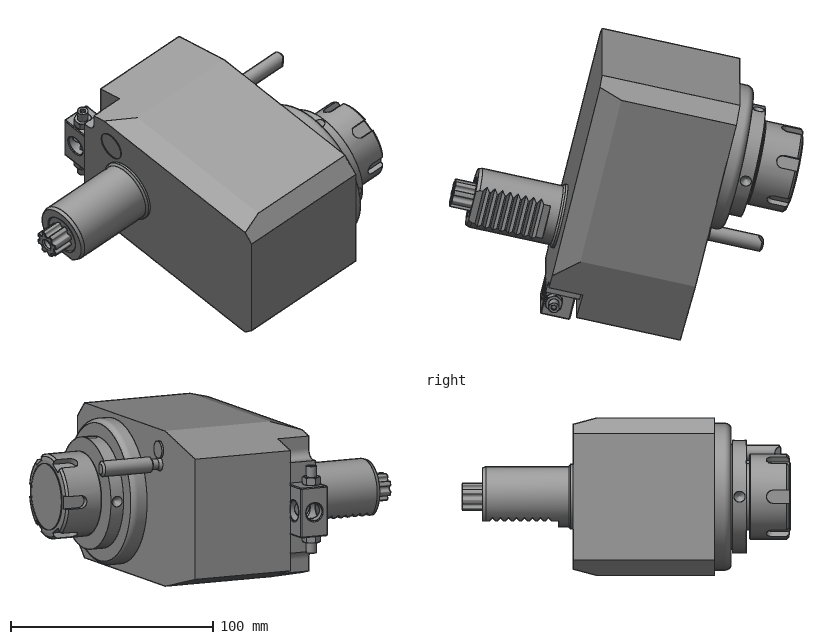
import cadquery as cq
import math


BODY_DEPTH = 70.0
BODY_LEFT = -39.0
BODY_RIGHT = 90.0
HALF_HEIGHT = 39.0
TAPER_ANGLE = math.radians(15)
SIDE_TAPER_LENGTH = 32.8
FRONT_TAPER_LENGTH = 11.7
CORNER_CHAMFER = 7.8
PLUG_RADIUS = 7.2
PLUG_X = -12.7
PLUG_Z = 21.6
PLUG_RECESS = 0.5

POCKET_DEPTH = 17.2
POCKET_RIGHT = -25.2
PAD_FACE_X = -32.2
PAD_HALF_HEIGHT = 22.8
POCKET_FILLET = 4.7

SHANK_RADIUS = 15.0
SHANK_LENGTH = 44.9
SHANK_CHAMFER_LENGTH = 1.8
SHANK_CHAMFER_WIDTH = 0.7
COLLAR_RADIUS = 16.1
COLLAR_LENGTH = 1.1
COLLAR_END = 2.1
END_RECESS_RADIUS = 10.0
END_RECESS_DEPTH = 0.5
END_RECESS_TAPER = 0.5
FLAT_Z = -12.0
FLAT_START = 7.2
NOTCH_COUNT = 8
NOTCH_FIRST = 12.2
NOTCH_LAST = 39.8
NOTCH_DEPTH = 1.6

SPLINE_LENGTH = 10.0
SPLINE_RADIUS = 7.0
SPLINE_CHAMFER = 0.3
SPLINE_EDGE_FILLET = 0.5
SPLINE_COUNT = 8
SPLINE_GROOVE_RADIUS = 1.3
SPLINE_GROOVE_CENTRE = 6.5
CENTRE_HOLE_RADIUS = 2.5
CENTRE_HOLE_DEPTH = 4.9
CENTRE_HOLE_CHAMFER = 0.7

SPINDLE_X = 50.0
FLANGE_RADIUS = 36.5
FLANGE_LENGTH = 8.1
FLANGE_ROUNDING = 3.4
FLANGE_ROUNDING_TRIM = 0.3
GAP_RADIUS = 26.0
RING_START = 78.9
RING_END = 85.9
RING_RADIUS = 28.0
RING_HOLE_RADIUS = 2.8
RING_HOLE_DEPTH = 2.8
RING_HOLE_COUNT = 4
RING_HOLE_Y = 82.5
NECK_RADIUS = 16.6
NUT_START = 87.3
NUT_END = 107.6
NUT_RADIUS = 21.1
NUT_BASE_CHAMFER = 0.5
NUT_RIM_WIDTH = 1.1
NUT_RIM_START = 2.0
NUT_RIM_END = 0.8
NUT_STEP_RADIUS = 18.0
NUT_STEP_HEIGHT = 0.5
NUT_SLOT_COUNT = 6
NUT_SLOT_WIDTH = 6.5
NUT_SLOT_LENGTH = 11.9
NUT_SLOT_FLOOR = 18.0

PIN_Z = 21.6
PIN_RADIUS = 3.9
PIN_END = 103.0
PIN_HEAD_START = 75.8
PIN_NECK_RADIUS = 2.6
PIN_SHOULDER = 1.0
PIN_TIP_LENGTH = 1.0
PIN_TIP_RADIUS = 2.6
PIN_FOOT_RADIUS = 3.5
PIN_FOOT_HEIGHT = 1.6
PIN_BEVEL_WIDTH = 2.5
PIN_BEVEL_LENGTH = 3.1
SCREW_HEAD_Z = 28.8
SCREW_HEAD_RADIUS = 4.4
SCREW_HEAD_HEIGHT = 1.0

BLOCK_LEFT = -48.0
BLOCK_FRONT = 1.0
BLOCK_DEPTH = 15.0
BLOCK_HALF_HEIGHT = 12.5
BLOCK_CHAMFER = 0.5
PORT_X = -39.8
PORT_RADIUS = 5.0
PORT_CHAMFER = 0.5
LEFT_PORT_RADIUS = 4.4
LEFT_PORT_FLOOR_X = -33.8
JET_RADIUS = 1.6
JET_DEPTH = 3.3
SCREW_Y = 6.0
STUD_RADIUS = 2.6
STUD_LENGTH = 9.3
SCREW_BORE_RADIUS = 1.5
SOCKET_WIDTH = 3.0
SOCKET_DEPTH = 1.6
HEX_NUT_DIAMETER = 9.1
HEX_NUT_HEIGHT = 3.9
HEX_NUT_CHAMFER = 0.5


def turned(x, z, profile):
    """Solid of revolution about a Y-parallel axis; profile points are (radius, y)."""
    start = (0, profile[0][1])
    end = (0, profile[-1][1])
    return (
        cq.Workplane("XY", origin=(x, 0, z))
        .polyline([start, *profile, end])
        .close()
        .revolve(360, (0, 0, 0), (0, 1, 0))
    )


def rod(x, z, radius, y_start, y_end):
    """Cylinder along Y."""
    return turned(x, z, [(radius, y_start), (radius, y_end)])


def make_body():
    left_half_height = HALF_HEIGHT - SIDE_TAPER_LENGTH * math.tan(TAPER_ANGLE)
    top_left = BODY_LEFT + SIDE_TAPER_LENGTH
    upper = [
        (BODY_LEFT, left_half_height),
        (top_left, HALF_HEIGHT),
        (BODY_RIGHT - CORNER_CHAMFER, HALF_HEIGHT),
        (BODY_RIGHT, HALF_HEIGHT - CORNER_CHAMFER),
    ]
    lower = [(x, -z) for x, z in reversed(upper)]
    body = cq.Workplane("XZ").polyline(upper + lower).close().extrude(-BODY_DEPTH)

    front_half_height = HALF_HEIGHT - FRONT_TAPER_LENGTH * math.tan(TAPER_ANGLE)
    top_side = [
        (0, front_half_height),
        (FRONT_TAPER_LENGTH, HALF_HEIGHT),
        (BODY_DEPTH, HALF_HEIGHT),
    ]
    bottom_side = [(y, -z) for y, z in reversed(top_side)]
    tapered_front = (
        cq.Workplane("YZ", origin=(BODY_LEFT, 0, 0))
        .polyline(top_side + bottom_side)
        .close()
        .extrude(BODY_RIGHT - BODY_LEFT)
    )
    plug_recess = rod(PLUG_X, PLUG_Z, PLUG_RADIUS, 0, PLUG_RECESS)
    return body.intersect(tapered_front).cut(make_pocket()).cut(plug_recess)


def make_pocket():
    """Cutter that leaves a pad at mid height, with a filleted notch above and below it."""
    upper = (
        cq.Workplane("XZ")
        .moveTo(BODY_LEFT, PAD_HALF_HEIGHT)
        .lineTo(POCKET_RIGHT - POCKET_FILLET, PAD_HALF_HEIGHT)
        .radiusArc((POCKET_RIGHT, PAD_HALF_HEIGHT + POCKET_FILLET), -POCKET_FILLET)
        .lineTo(POCKET_RIGHT, HALF_HEIGHT)
        .lineTo(BODY_LEFT, HALF_HEIGHT)
        .close()
        .extrude(-POCKET_DEPTH)
    )
    middle = cq.Workplane("XY").box(
        PAD_FACE_X - BODY_LEFT, POCKET_DEPTH, 2 * PAD_HALF_HEIGHT, centered=(False, False, True)
    )
    return middle.translate((BODY_LEFT, 0, 0)).union(upper).union(upper.mirror("XY"))


def make_shank():
    shank = turned(0, 0, [
        (COLLAR_RADIUS, 0),
        (COLLAR_RADIUS, -COLLAR_LENGTH),
        (SHANK_RADIUS, -COLLAR_END),
        (SHANK_RADIUS, SHANK_CHAMFER_LENGTH - SHANK_LENGTH),
        (SHANK_RADIUS - SHANK_CHAMFER_WIDTH, -SHANK_LENGTH),
    ])
    end_recess = turned(0, 0, [
        (END_RECESS_RADIUS, -SHANK_LENGTH),
        (END_RECESS_RADIUS - END_RECESS_TAPER, END_RECESS_DEPTH - SHANK_LENGTH),
    ])

    notched_outline = [(-FLAT_START, -COLLAR_RADIUS), (-FLAT_START, FLAT_Z)]
    notch_pitch = (NOTCH_LAST - NOTCH_FIRST) / (NOTCH_COUNT - 1)
    for index in range(NOTCH_COUNT):
        y = -NOTCH_FIRST - index * notch_pitch
        notched_outline += [
            (y + NOTCH_DEPTH, FLAT_Z),
            (y, FLAT_Z + NOTCH_DEPTH),
            (y - NOTCH_DEPTH, FLAT_Z),
        ]
    notched_outline += [(-SHANK_LENGTH, FLAT_Z), (-SHANK_LENGTH, -COLLAR_RADIUS)]
    notched_flat = (
        cq.Workplane("YZ").polyline(notched_outline).close().extrude(SHANK_RADIUS, both=True)
    )
    return shank.cut(end_recess).cut(notched_flat)


def make_spline():
    start = END_RECESS_DEPTH - SHANK_LENGTH
    end = -SHANK_LENGTH - SPLINE_LENGTH
    blank = cq.Workplane("XZ", origin=(0, start, 0)).circle(SPLINE_RADIUS).extrude(start - end)
    grooves = (
        cq.Workplane("XZ", origin=(0, start, 0))
        .polarArray(SPLINE_GROOVE_CENTRE, 0, 360, SPLINE_COUNT)
        .circle(SPLINE_GROOVE_RADIUS)
        .extrude(start - end)
    )
    spline = (
        blank.cut(grooves)
        .edges("|Y")
        .fillet(SPLINE_EDGE_FILLET)
        .edges("<Y")
        .chamfer(SPLINE_CHAMFER)
    )
    centre_hole = turned(0, 0, [
        (CENTRE_HOLE_RADIUS + CENTRE_HOLE_CHAMFER, end),
        (CENTRE_HOLE_RADIUS, end + CENTRE_HOLE_CHAMFER),
        (CENTRE_HOLE_RADIUS, end + CENTRE_HOLE_DEPTH),
    ])
    return spline.cut(centre_hole)


def make_spindle():
    flange_end = BODY_DEPTH + FLANGE_LENGTH
    rounded_end = flange_end + FLANGE_ROUNDING_TRIM
    rounded = rod(SPINDLE_X, 0, FLANGE_RADIUS, BODY_DEPTH, rounded_end).edges(">Y").fillet(FLANGE_ROUNDING)
    flange = rounded.intersect(rod(SPINDLE_X, 0, FLANGE_RADIUS, BODY_DEPTH, flange_end))
    gap = rod(SPINDLE_X, 0, GAP_RADIUS, flange_end, RING_START)
    neck = rod(SPINDLE_X, 0, NECK_RADIUS, RING_END, NUT_START)
    return flange.union(gap).union(make_ring()).union(neck).union(make_collet_nut())


def make_ring():
    ring = rod(SPINDLE_X, 0, RING_RADIUS, RING_START, RING_END)
    conical_hole = (
        cq.Workplane("XZ", origin=(SPINDLE_X, RING_HOLE_Y, RING_RADIUS - RING_HOLE_DEPTH))
        .lineTo(RING_HOLE_RADIUS, RING_HOLE_DEPTH)
        .lineTo(0, RING_HOLE_DEPTH)
        .close()
        .revolve(360, (0, 0, 0), (0, 1, 0))
    )
    for index in range(RING_HOLE_COUNT):
        angle = index * 360 / RING_HOLE_COUNT
        ring = ring.cut(conical_hole.rotate((SPINDLE_X, 0, 0), (SPINDLE_X, 1, 0), angle))
    return ring


def make_collet_nut():
    rim_radius = NUT_RADIUS - NUT_RIM_WIDTH
    nut = turned(SPINDLE_X, 0, [
        (NUT_RADIUS - NUT_BASE_CHAMFER, NUT_START),
        (NUT_RADIUS, NUT_START + NUT_BASE_CHAMFER),
        (NUT_RADIUS, NUT_END - NUT_RIM_START),
        (rim_radius, NUT_END - NUT_RIM_END),
        (NUT_STEP_RADIUS, NUT_END - NUT_STEP_HEIGHT),
        (NECK_RADIUS, NUT_END - NUT_STEP_HEIGHT),
        (NECK_RADIUS, NUT_END),
    ])
    round_centre = NUT_END - NUT_SLOT_LENGTH + NUT_SLOT_WIDTH / 2
    slot = (
        cq.Workplane("YZ", origin=(SPINDLE_X + NUT_SLOT_FLOOR, 0, 0))
        .moveTo(NUT_END, -NUT_SLOT_WIDTH / 2)
        .lineTo(round_centre, -NUT_SLOT_WIDTH / 2)
        .threePointArc((NUT_END - NUT_SLOT_LENGTH, 0), (round_centre, NUT_SLOT_WIDTH / 2))
        .lineTo(NUT_END, NUT_SLOT_WIDTH / 2)
        .close()
        .extrude(NUT_RADIUS - NUT_SLOT_FLOOR)
    )
    for index in range(NUT_SLOT_COUNT):
        angle = index * 360 / NUT_SLOT_COUNT
        nut = nut.cut(slot.rotate((SPINDLE_X, 0, 0), (SPINDLE_X, 1, 0), angle))
    return nut


def make_pin():
    pin = turned(0, PIN_Z, [
        (PIN_FOOT_RADIUS, BODY_DEPTH),
        (PIN_NECK_RADIUS, BODY_DEPTH + PIN_FOOT_HEIGHT),
        (PIN_NECK_RADIUS, PIN_HEAD_START - PIN_SHOULDER),
        (PIN_RADIUS, PIN_HEAD_START),
        (PIN_RADIUS, PIN_END - PIN_TIP_LENGTH),
        (PIN_TIP_RADIUS, PIN_END),
    ])
    tip_bevel = (
        cq.Workplane("XY", origin=(0, 0, PIN_Z))
        .moveTo(PIN_RADIUS, PIN_END)
        .lineTo(PIN_RADIUS - PIN_BEVEL_WIDTH, PIN_END)
        .lineTo(PIN_RADIUS, PIN_END - PIN_BEVEL_LENGTH)
        .close()
        .extrude(PIN_RADIUS, both=True)
    )
    screw_head = rod(0, SCREW_HEAD_Z, SCREW_HEAD_RADIUS, BODY_DEPTH, BODY_DEPTH + SCREW_HEAD_HEIGHT)
    return pin.cut(tip_bevel).union(screw_head)


def make_coolant_block():
    middle_y = BLOCK_FRONT + BLOCK_DEPTH / 2
    block = (
        cq.Workplane("XY")
        .box(PAD_FACE_X - BLOCK_LEFT, BLOCK_DEPTH, 2 * BLOCK_HALF_HEIGHT, centered=(False, False, True))
        .translate((BLOCK_LEFT, BLOCK_FRONT, 0))
        .edges("not >X")
        .chamfer(BLOCK_CHAMFER)
    )
    block_back = BLOCK_FRONT + BLOCK_DEPTH
    port_mouth = PORT_RADIUS + PORT_CHAMFER
    cross_port = turned(PORT_X, 0, [
        (port_mouth, BLOCK_FRONT),
        (PORT_RADIUS, BLOCK_FRONT + PORT_CHAMFER),
        (PORT_RADIUS, block_back - PORT_CHAMFER),
        (port_mouth, block_back),
    ])
    left_port = (
        cq.Workplane("XY", origin=(0, middle_y, 0))
        .polyline([
            (BLOCK_LEFT, 0),
            (BLOCK_LEFT, LEFT_PORT_RADIUS + PORT_CHAMFER),
            (BLOCK_LEFT + PORT_CHAMFER, LEFT_PORT_RADIUS),
            (LEFT_PORT_FLOOR_X, LEFT_PORT_RADIUS),
            (LEFT_PORT_FLOOR_X, JET_RADIUS),
            (LEFT_PORT_FLOOR_X + JET_DEPTH, JET_RADIUS),
            (LEFT_PORT_FLOOR_X + JET_DEPTH, 0),
        ])
        .close()
        .revolve(360, (0, 0, 0), (1, 0, 0))
    )
    screw_bore = (
        cq.Workplane("XY", origin=(PORT_X, SCREW_Y, 0))
        .circle(SCREW_BORE_RADIUS)
        .extrude(BLOCK_HALF_HEIGHT, both=True)
    )
    screw = make_clamp_screw()
    block = block.union(screw).union(screw.mirror("XY"))
    return block.cut(cross_port).cut(left_port).cut(screw_bore)


def make_clamp_screw():
    """Stud with a hexagon nut and an end socket, standing on top of the coolant block."""
    base = cq.Workplane("XY", origin=(PORT_X, SCREW_Y, BLOCK_HALF_HEIGHT))
    stud = base.circle(STUD_RADIUS).extrude(STUD_LENGTH)
    socket = (
        base.workplane(offset=STUD_LENGTH)
        .polygon(6, SOCKET_WIDTH)
        .extrude(-SOCKET_DEPTH)
    )
    hexagon = base.polygon(6, HEX_NUT_DIAMETER).extrude(HEX_NUT_HEIGHT)
    chamfered_disc = (
        base.circle(HEX_NUT_DIAMETER / 2)
        .extrude(HEX_NUT_HEIGHT)
        .edges()
        .chamfer(HEX_NUT_CHAMFER)
    )
    return hexagon.intersect(chamfered_disc).union(stud).cut(socket)


result = (
    make_body()
    .union(make_shank())
    .union(make_spline())
    .union(make_spindle())
    .union(make_pin())
    .union(make_coolant_block())
)